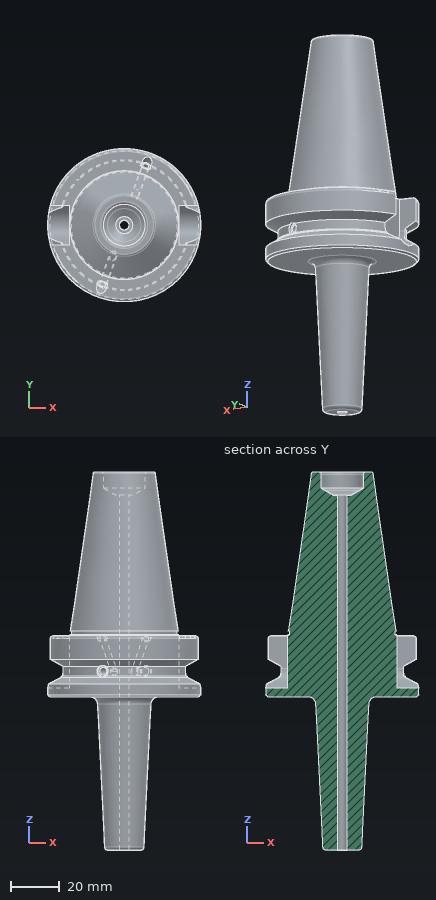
import cadquery as cq
import math

total_length = 155.4

gauge_radius = 22.2
taper_length = 65.5
taper_ratio = 7 / 24
taper_top_radius = gauge_radius - taper_length * taper_ratio / 2
taper_top_round = 0.8
neck_radius = 21.8
collar_radius = 22.4
collar_height = 0.5

flange_diameter = 63.0
flange_radius = flange_diameter / 2
flange_top = -1.9
flange_bottom = -27.0
flange_round = 1.2
flange_bottom_chamfer = 1.0
groove_radius = 26.4
groove_center = -16.5
groove_width = 4.0
groove_top = groove_center + groove_width / 2
groove_bottom = groove_center - groove_width / 2
ledge_radius = 26.9
ledge_height = 0.5
ledge_bottom = groove_bottom - ledge_height
groove_angle = 30
groove_slope = math.tan(math.radians(groove_angle))
groove_flare = (flange_radius - groove_radius) * groove_slope
ledge_flare = (flange_radius - ledge_radius) * groove_slope

nose_bottom = taper_length - total_length
nose_root_radius = 11.2
nose_tip_radius = 8.1
nose_tip_round = 1.5
nose_root_fillet = 3.0

bore_radius = 8.5
mouth_round = 1.1
bore_depth = 6.7
seat_radius = 6.8
seat_depth = 7.8
cone_end_diameter = 7.0
cone_end_radius = cone_end_diameter / 2
cone_depth = 9.6
channel_diameter = 3.9
channel_radius = channel_diameter / 2

slot_width = 16.2
slot_floor = 22.5
slot_arc_center = -15.2

port_angles = (70, 250)
port_entry_radius = 26.9
port_radius = 2.0
port_inner_radius = 1.2
port_step_depth = 1.5
port_tilt = 45
groove_port_radius = 2.3
groove_port_inner_radius = 1.5
groove_port_step_depth = 1.2
port_drop = flange_top - groove_center
port_meeting_radius = port_entry_radius - port_drop * math.tan(math.radians(port_tilt))


def revolved_body():
    profile = (
        cq.Workplane("YZ")
        .moveTo(0, nose_bottom)
        .lineTo(nose_tip_radius, nose_bottom)
        .lineTo(nose_root_radius, flange_bottom)
        .lineTo(flange_radius - flange_bottom_chamfer, flange_bottom)
        .lineTo(flange_radius, flange_bottom + flange_bottom_chamfer)
        .lineTo(flange_radius, ledge_bottom - ledge_flare)
        .lineTo(ledge_radius, ledge_bottom)
        .lineTo(ledge_radius, groove_bottom)
        .lineTo(groove_radius, groove_bottom)
        .lineTo(groove_radius, groove_top)
        .lineTo(flange_radius, groove_top + groove_flare)
        .lineTo(flange_radius, flange_top - flange_round)
        .radiusArc((flange_radius - flange_round, flange_top), -flange_round)
        .lineTo(collar_radius, flange_top)
        .lineTo(collar_radius, flange_top + collar_height)
        .lineTo(neck_radius, flange_top + collar_height)
        .lineTo(neck_radius, 0)
        .lineTo(gauge_radius, 0)
        .lineTo(taper_top_radius, taper_length)
        .lineTo(0, taper_length)
        .close()
    )
    return profile.revolve(360, (0, 0, 0), (0, 1, 0))


def rim(radius, height):
    """Selects the circular edge of this radius at this height; no smaller one may lie at the same height."""
    margin = 0.08
    reach = radius + margin
    return cq.selectors.BoxSelector(
        (-reach, -reach, height - margin), (reach, reach, height + margin), boundingbox=True
    )


def rounded(body):
    body = body.edges(rim(nose_root_radius, flange_bottom)).fillet(nose_root_fillet)
    body = body.edges(rim(nose_tip_radius, nose_bottom)).fillet(nose_tip_round)
    return body.edges(rim(taper_top_radius, taper_length)).fillet(taper_top_round)


def stepped_bore():
    profile = (
        cq.Workplane("YZ")
        .moveTo(0, taper_length)
        .lineTo(bore_radius + mouth_round, taper_length)
        .radiusArc((bore_radius, taper_length - mouth_round), -mouth_round)
        .lineTo(bore_radius, taper_length - bore_depth)
        .lineTo(seat_radius, taper_length - seat_depth)
        .lineTo(cone_end_radius, taper_length - cone_depth)
        .lineTo(channel_radius, taper_length - cone_depth)
        .lineTo(channel_radius, nose_bottom)
        .lineTo(0, nose_bottom)
        .close()
    )
    return profile.revolve(360, (0, 0, 0), (0, 1, 0))


def drive_slot(side):
    """Round-bottomed slot cut from the flange rim inward to the flat slot floor."""
    depth = flange_radius - slot_floor
    open_end = 0
    outline = (
        cq.Workplane("YZ", origin=(side * slot_floor, 0, 0))
        .moveTo(-slot_width / 2, slot_arc_center)
        .threePointArc((0, slot_arc_center - slot_width / 2), (slot_width / 2, slot_arc_center))
        .lineTo(slot_width / 2, open_end)
        .lineTo(-slot_width / 2, open_end)
        .close()
    )
    return outline.extrude(side * depth)


def stepped_hole(mouth, direction, length, outer_radius, inner_radius, step_depth):
    """Hole with a wider mouth; its cutter also sticks out past the mouth to clear the surface."""
    clearance = outer_radius
    outer = cq.Solid.makeCylinder(
        outer_radius, step_depth + clearance, mouth - direction * clearance, direction
    )
    inner = cq.Solid.makeCylinder(inner_radius, length, mouth, direction)
    return outer.fuse(inner)


def coolant_port(angle):
    tilt = math.radians(port_tilt)
    inclined = stepped_hole(
        cq.Vector(port_entry_radius, 0, flange_top),
        cq.Vector(-math.sin(tilt), 0, -math.cos(tilt)),
        port_drop / math.cos(tilt),
        port_radius,
        port_inner_radius,
        port_step_depth,
    )
    radial = stepped_hole(
        cq.Vector(groove_radius, 0, groove_center),
        cq.Vector(-1, 0, 0),
        groove_radius - port_meeting_radius,
        groove_port_radius,
        groove_port_inner_radius,
        groove_port_step_depth,
    )
    return cq.Workplane(inclined.fuse(radial)).rotate((0, 0, 0), (0, 0, 1), angle)


result = rounded(revolved_body()).cut(stepped_bore())
for side in (-1, 1):
    result = result.cut(drive_slot(side))
for angle in port_angles:
    result = result.cut(coolant_port(angle))